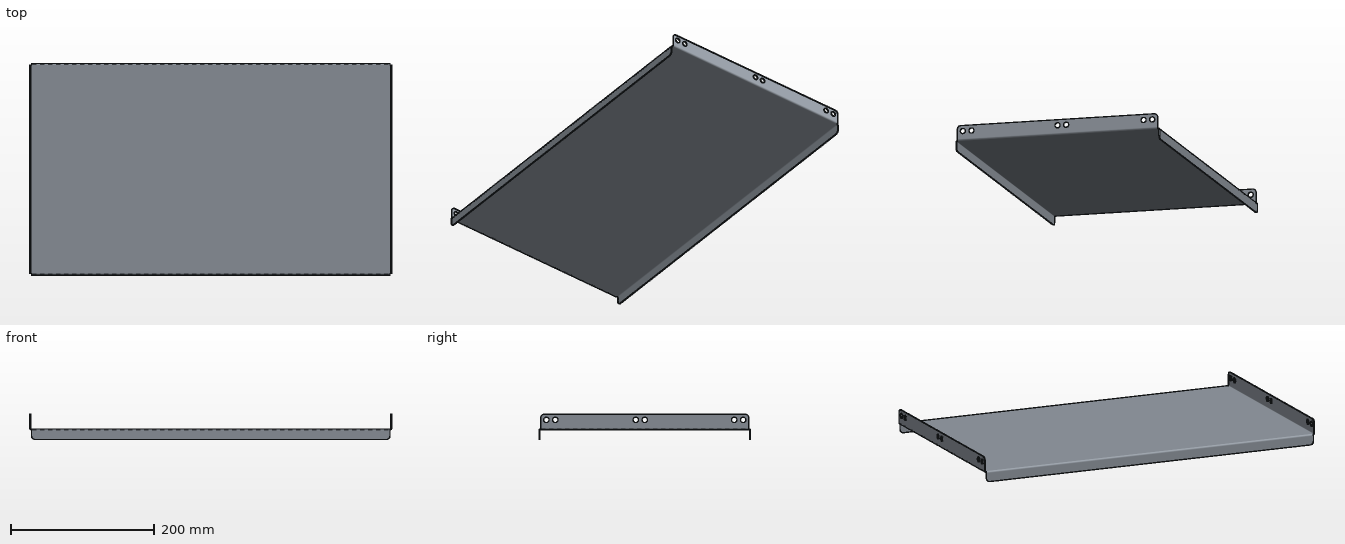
import cadquery as cq

LENGTH = 506.0
WIDTH = 296.0
HEIGHT = 35.5

THICKNESS = 1.5
INNER_BEND_RADIUS = 1.0
OUTER_BEND_RADIUS = INNER_BEND_RADIUS + THICKNESS

APRON_HEIGHT = 15.0
WALL_HEIGHT = HEIGHT - APRON_HEIGHT + THICKNESS
CORNER_RADIUS = 5.0

PANEL_LENGTH = LENGTH - 2 * OUTER_BEND_RADIUS
PANEL_WIDTH = WIDTH - 2 * OUTER_BEND_RADIUS

HOLE_DIAMETER = 7.3
HOLE_MARGIN = 8.0
HOLE_SPACING = 12.5
OUTER_HOLE_Y = PANEL_WIDTH / 2 - HOLE_MARGIN
HOLE_POSITIONS_Y = (
    -OUTER_HOLE_Y,
    -OUTER_HOLE_Y + HOLE_SPACING,
    -HOLE_SPACING,
    0,
    OUTER_HOLE_Y - HOLE_SPACING,
    OUTER_HOLE_Y,
)


def make_panel():
    """Flat rectangular sheet with its underside at Z = 0."""
    return cq.Workplane("XY").box(PANEL_LENGTH, PANEL_WIDTH, THICKNESS, centered=(True, True, False))


def make_flange(panel_half_span, flange_height, flange_length):
    """Upward flange with its bend, joining the panel edge at X = panel_half_span and running along Y."""
    outer_face = panel_half_span + OUTER_BEND_RADIUS
    inner_face = outer_face - THICKNESS
    bend = (
        cq.Workplane("XZ")
        .moveTo(panel_half_span, 0)
        .radiusArc((outer_face, OUTER_BEND_RADIUS), -OUTER_BEND_RADIUS)
        .lineTo(inner_face, OUTER_BEND_RADIUS)
        .radiusArc((panel_half_span, THICKNESS), INNER_BEND_RADIUS)
        .close()
        .extrude(flange_length / 2, both=True)
    )
    leg = (
        cq.Workplane("XY", origin=((inner_face + outer_face) / 2, 0, OUTER_BEND_RADIUS))
        .box(THICKNESS, flange_length, flange_height - OUTER_BEND_RADIUS, centered=(True, True, False))
        .edges("|X and >Z")
        .fillet(CORNER_RADIUS)
    )
    return bend.union(leg)


def make_wall():
    """Upward end wall on the +X side."""
    return make_flange(PANEL_LENGTH / 2, WALL_HEIGHT, PANEL_WIDTH)


def make_apron():
    """Downward apron on the -Y side: an upward flange turned upside down and swung round Z."""
    upward = make_flange(PANEL_WIDTH / 2, APRON_HEIGHT, PANEL_LENGTH)
    downward = upward.mirror("XY").translate((0, 0, THICKNESS))
    return downward.rotate((0, 0, 0), (0, 0, 1), -90)


def make_wall_holes():
    """Cylinders running along X through both end walls."""
    hole_z = WALL_HEIGHT - HOLE_MARGIN
    return (
        cq.Workplane("YZ")
        .pushPoints([(y, hole_z) for y in HOLE_POSITIONS_Y])
        .circle(HOLE_DIAMETER / 2)
        .extrude(LENGTH / 2, both=True)
    )


wall = make_wall()
apron = make_apron()
result = (
    make_panel()
    .union(wall)
    .union(wall.mirror("YZ"))
    .union(apron)
    .union(apron.mirror("XZ"))
    .cut(make_wall_holes())
)